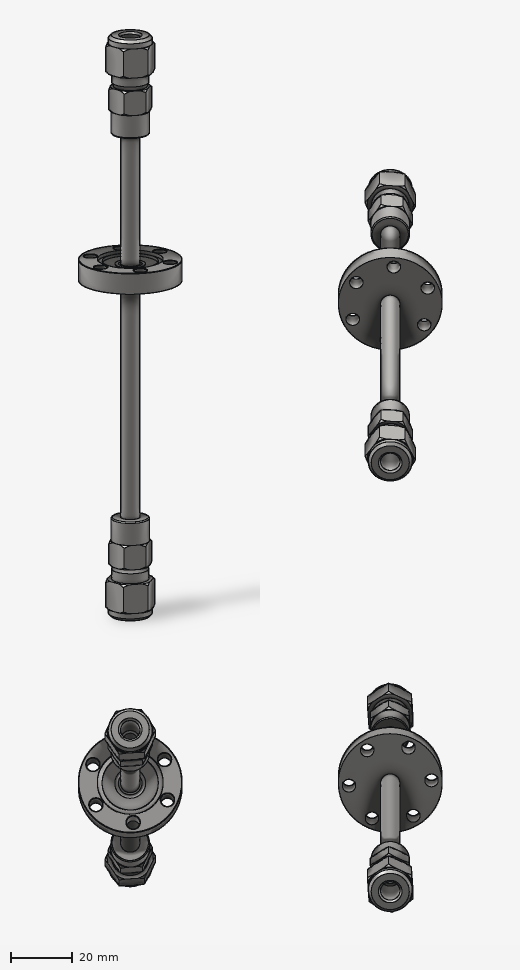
import cadquery as cq
import math

TOTAL_LENGTH = 196.8
TOP_Z = TOTAL_LENGTH / 2

TUBE_OD = 6.3
TUBE_ID = 4.5

FLANGE_DIAMETER = 33.9
FLANGE_THICKNESS = 7.0
FLANGE_TOP_Z = TOP_Z - 76.0
FLANGE_EDGE_CHAMFER = 0.2
RECESS_DIAMETER = 21.5
RECESS_WALL_DEPTH = 1.2
KNIFE_EDGE_DIAMETER = 18.3
KNIFE_EDGE_DEPTH = 0.5
FLOOR_DEPTH = 1.5
WELD_GROOVE_OD = 10.0
WELD_GROOVE_ID = 7.7
WELD_GROOVE_DEPTH = 0.4
BOLT_COUNT = 6
BOLT_CIRCLE_DIAMETER = 27.0
BOLT_HOLE_DIAMETER = 4.3
BOLT_HOLE_CHAMFER = 0.2
FIRST_BOLT_ANGLE = 90.0

NUT_HEX_START = 2.8
NUT_HEX_END = 12.5
NECK_TAPER_START = 16.0
BODY_HEX_START = 17.3
BODY_HEX_END = 25.5
FITTING_LENGTH = 33.5

HEX_CORNER_RATIO = 1 / math.cos(math.pi / 6)
NUT_FLATS = 14.4
NUT_CORNER_DIAMETER = NUT_FLATS * HEX_CORNER_RATIO
COLLAR_DIAMETER = 14.4
COLLAR_CHAMFER = 1.0
NECK_DIAMETER = 12.2
NECK_TAPER_END_DIAMETER = 11.0
BODY_FLATS = 12.5
BODY_CORNER_DIAMETER = BODY_FLATS * HEX_CORNER_RATIO
HEX_CHAMFER = 0.8
SHANK_DIAMETER = BODY_FLATS
SHANK_CHAMFER = 0.4
ENTRY_DIAMETER = TUBE_OD
ENTRY_CHAMFER = 0.69
ENTRY_DEPTH = 15.2


def disc(diameter, start, end):
    """Cylinder on the Z axis between two heights."""
    return cq.Workplane("XY").workplane(offset=start).circle(diameter / 2).extrude(end - start)


def cone(start_diameter, end_diameter, start, end):
    """Truncated cone on the Z axis between two heights."""
    solid = cq.Solid.makeCone(
        start_diameter / 2, end_diameter / 2, end - start, pnt=cq.Vector(0, 0, start)
    )
    return cq.Workplane(obj=solid)


def turned_hex(flats, corner_diameter, start, end):
    """Hexagon with corners along X, turned down by a chamfered cylinder."""
    prism = (
        cq.Workplane("XY").workplane(offset=start)
        .polygon(6, flats * HEX_CORNER_RATIO).extrude(end - start)
    )
    turned_envelope = disc(corner_diameter, start, end).edges().chamfer(HEX_CHAMFER)
    return prism.intersect(turned_envelope)


def make_fitting():
    """Compression fitting with its open end at Z = 0 and its tube end towards +Z."""
    collar = disc(COLLAR_DIAMETER, 0, NUT_HEX_START).faces("<Z").chamfer(COLLAR_CHAMFER)
    nut_hex = turned_hex(NUT_FLATS, NUT_CORNER_DIAMETER, NUT_HEX_START, NUT_HEX_END)
    neck = disc(NECK_DIAMETER, NUT_HEX_END, NECK_TAPER_START)
    taper = cone(NECK_DIAMETER, NECK_TAPER_END_DIAMETER, NECK_TAPER_START, BODY_HEX_START)
    body_hex = turned_hex(BODY_FLATS, BODY_CORNER_DIAMETER, BODY_HEX_START, BODY_HEX_END)
    shank = disc(SHANK_DIAMETER, BODY_HEX_END, FITTING_LENGTH).faces(">Z").chamfer(SHANK_CHAMFER)
    outside = collar.union(nut_hex).union(neck).union(taper).union(body_hex).union(shank)

    bore = disc(TUBE_ID, 0, FITTING_LENGTH)
    entry = disc(ENTRY_DIAMETER, 0, ENTRY_DEPTH)
    mouth_diameter = ENTRY_DIAMETER + 2 * ENTRY_CHAMFER
    entry_mouth = cone(mouth_diameter, ENTRY_DIAMETER, 0, ENTRY_CHAMFER)
    return outside.cut(bore).cut(entry).cut(entry_mouth)


def make_tube():
    """Plain tube whose ends butt against the two fittings."""
    end = TOP_Z - FITTING_LENGTH
    return disc(TUBE_OD, -end, end).cut(disc(TUBE_ID, -end, end))


def flange_profile():
    """Half section of the flange in the XZ plane, with the upper face at Z = 0."""
    outer_radius = FLANGE_DIAMETER / 2
    groove_middle_radius = (WELD_GROOVE_OD + WELD_GROOVE_ID) / 4
    return (
        cq.Workplane("XZ")
        .moveTo(TUBE_OD / 2, -FLANGE_THICKNESS)
        .lineTo(outer_radius, -FLANGE_THICKNESS)
        .lineTo(outer_radius, -FLANGE_EDGE_CHAMFER)
        .lineTo(outer_radius - FLANGE_EDGE_CHAMFER, 0)
        .lineTo(RECESS_DIAMETER / 2, 0)
        .lineTo(RECESS_DIAMETER / 2, -RECESS_WALL_DEPTH)
        .lineTo(KNIFE_EDGE_DIAMETER / 2, -KNIFE_EDGE_DEPTH)
        .lineTo(KNIFE_EDGE_DIAMETER / 2, -FLOOR_DEPTH)
        .lineTo(WELD_GROOVE_OD / 2, -FLOOR_DEPTH)
        .threePointArc(
            (groove_middle_radius, -FLOOR_DEPTH - WELD_GROOVE_DEPTH),
            (WELD_GROOVE_ID / 2, -FLOOR_DEPTH),
        )
        .lineTo(TUBE_OD / 2, -FLOOR_DEPTH)
        .close()
    )


def bolt_cutter():
    """One bolt hole with its chamfered mouth, on the Z axis below Z = 0."""
    mouth_diameter = BOLT_HOLE_DIAMETER + 2 * BOLT_HOLE_CHAMFER
    shaft = disc(BOLT_HOLE_DIAMETER, -FLANGE_THICKNESS, 0)
    mouth = cone(BOLT_HOLE_DIAMETER, mouth_diameter, -BOLT_HOLE_CHAMFER, 0)
    return shaft.union(mouth)


def make_flange():
    """Turned flange with a circle of bolt holes, fitting closely around the tube."""
    flange = flange_profile().revolve(360, (0, 0, 0), (0, 1, 0))
    cutter = bolt_cutter().translate((BOLT_CIRCLE_DIAMETER / 2, 0, 0))
    for index in range(BOLT_COUNT):
        angle = FIRST_BOLT_ANGLE + index * 360 / BOLT_COUNT
        flange = flange.cut(cutter.rotate((0, 0, 0), (0, 0, 1), angle))
    return flange.translate((0, 0, FLANGE_TOP_Z))


tube = make_tube()
flange = make_flange()

fittings = []
for turn in (0, 180):
    fitting = make_fitting().translate((0, 0, -TOP_Z)).rotate((0, 0, 0), (1, 0, 0), turn)
    fittings.append(fitting.val())

result = cq.Compound.makeCompound([tube.val(), flange.val(), *fittings])